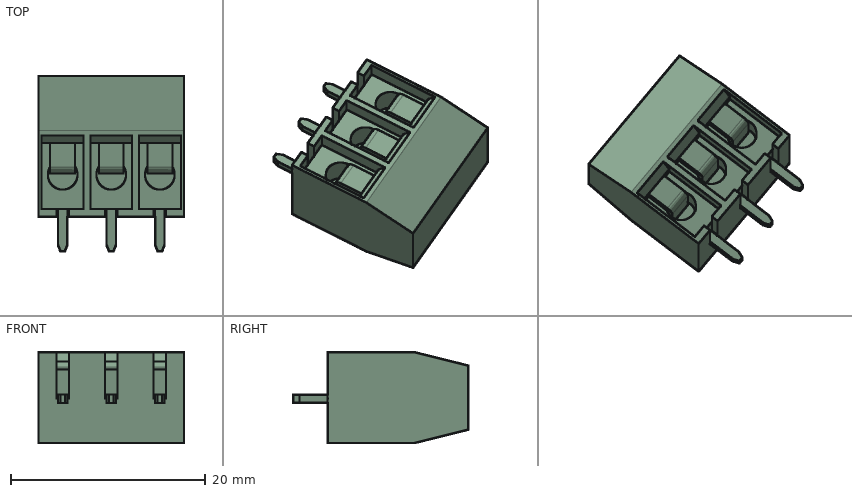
import cadquery as cq

pole_count = 3
pole_pitch = 5.0
body_width = pole_count * pole_pitch
body_height = 9.4
overall_depth = 18.06
pin_length = 3.55
body_depth = overall_depth - pin_length
taper_depth = 5.6
taper_drop = 1.39

pocket_width = 4.32
pocket_front_wall = 0.78
pocket_back_rim = 0.52
pocket_back = body_depth - taper_depth - pocket_back_rim
pocket_floor = body_height - 1.79
lead_in_run = 0.8

well_diameter = 3.05
well_front_offset = 4.32
tongue_width = 2.56
tongue_top = body_height - 1.0
tongue_front = 4.45
tongue_nose_radius = 0.67

slot_width = 1.26
pin_width = 1.0
pin_thickness = 0.85
pin_tip_width = 0.47
pin_tip_length = 0.65
pin_axis_height = body_height - 4.8
slot_floor = pin_axis_height
well_floor = slot_floor

pole_centers = [(i - (pole_count - 1) / 2) * pole_pitch for i in range(pole_count)]


def extrude_side_profile(points, width, center_x):
    """Extrude a closed (Y, Z) outline along X, centered on center_x."""
    return (
        cq.Workplane("YZ", origin=(center_x, 0, 0))
        .polyline(points)
        .close()
        .extrude(width / 2, both=True)
    )


def make_housing():
    """Block whose top and bottom slope together toward the back."""
    taper_start = body_depth - taper_depth
    outline = [
        (0, 0),
        (taper_start, 0),
        (body_depth, taper_drop),
        (body_depth, body_height - taper_drop),
        (taper_start, body_height),
        (0, body_height),
    ]
    return extrude_side_profile(outline, body_width, 0)


def make_pocket(center_x):
    """Open-topped pocket with a sloped lead-in on its back wall."""
    lead_in_end = pocket_back - lead_in_run
    outline = [
        (pocket_front_wall, pocket_floor),
        (lead_in_end, pocket_floor),
        (lead_in_end, tongue_top),
        (pocket_back, body_height),
        (pocket_front_wall, body_height),
    ]
    return extrude_side_profile(outline, pocket_width, center_x)


def make_well(center_x):
    """Blind round hole in the pocket floor."""
    return (
        cq.Workplane("XY", origin=(center_x, well_front_offset, well_floor))
        .circle(well_diameter / 2)
        .extrude(pocket_floor - well_floor)
    )


def make_slot(center_x):
    """Slot through the front wall, open at the top."""
    return (
        cq.Workplane("XY", origin=(center_x, 0, slot_floor))
        .box(slot_width, pocket_front_wall, body_height - slot_floor, centered=(True, False, False))
    )


def make_tongue(center_x):
    """Clamp tongue with a rounded nose, standing on the well floor."""
    length = pocket_back - lead_in_run - tongue_front
    return (
        cq.Workplane("XY", origin=(center_x, tongue_front, well_floor))
        .box(tongue_width, length, tongue_top - well_floor, centered=(True, False, False))
        .edges("<Y and >Z")
        .fillet(tongue_nose_radius)
    )


def make_pin(center_x):
    """Flat pin with a tapered tip, rooted at the back of its slot."""
    shoulder = pin_tip_length - pin_length
    outline = [
        (-pin_width / 2, pocket_front_wall),
        (-pin_width / 2, shoulder),
        (-pin_tip_width / 2, -pin_length),
        (pin_tip_width / 2, -pin_length),
        (pin_width / 2, shoulder),
        (pin_width / 2, pocket_front_wall),
    ]
    return (
        cq.Workplane("XY", origin=(center_x, 0, pin_axis_height))
        .polyline(outline)
        .close()
        .extrude(pin_thickness / 2, both=True)
    )


result = make_housing()
for x in pole_centers:
    result = result.cut(make_pocket(x)).cut(make_well(x)).cut(make_slot(x))
    result = result.union(make_tongue(x)).union(make_pin(x))